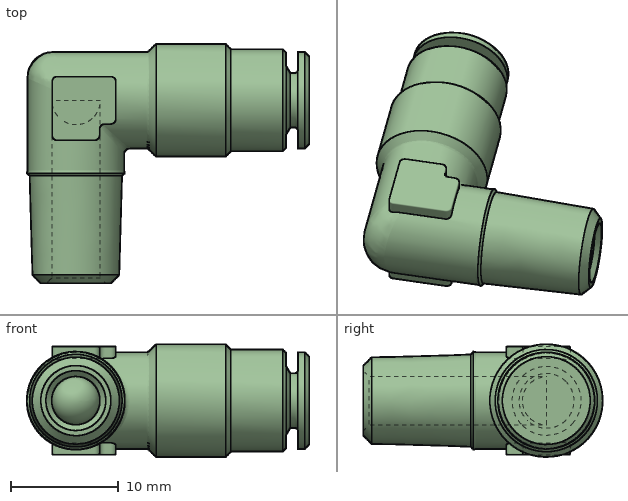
import cadquery as cq
import math


neck_radius = 9.0 / 2
outer_corner_radius = 2.4
inner_corner_radius = 0.47
core_half_height = 4.07

rim_start = 6.54
rim_peak = 6.77
rim_end = 7.0
stem_end = 17.0
rim_radius = 4.57
taper_start_radius = 8.6 / 2
taper_end_radius = 4.05
stem_chamfer = 0.8
bore_radius = 4.5 / 2
bore_mouth_radius = 2.78

housing_start = 6.55
large_end = 13.9
housing_end = 19.53
large_radius = 10.5 / 2
small_radius = 9.5 / 2
housing_end_chamfer = 0.32
neck_blend_radius = 0.35

sleeve_end = 21.68
flange_thickness = 1.05
flange_radius = 9.0 / 2
flange_chamfer = 0.42
sleeve_radius = 5.1 / 2
sleeve_cone_length = 0.4
sleeve_cone_radius = 3.2
sleeve_fillet = 0.32

pad_near = -2.2
pad_far = 3.73
pad_height = 5.05
pad_bottom = 3.15
pad_notch = 1.52
pad_corner_radius = 0.5
pad_edge_fillet = 0.13


def elbow():
    """Two mitred cylinders with a rounded outer and a blended inner corner."""
    reach = 2 * neck_radius
    tube_arm = (
        cq.Workplane("YZ")
        .workplane(offset=-reach)
        .circle(neck_radius)
        .extrude(reach + housing_start)
    )
    stem_arm = (
        cq.Workplane("XZ")
        .workplane(offset=-reach)
        .circle(neck_radius)
        .extrude(reach + rim_start)
    )
    tube_side = (
        cq.Workplane("XY")
        .polyline([(-reach, reach), (reach, reach), (reach, -reach)])
        .close()
        .extrude(reach, both=True)
    )
    body = tube_arm.intersect(tube_side).union(stem_arm.cut(tube_side))
    core = cq.Workplane("XY").box(6 * reach, 6 * reach, 2 * core_half_height)
    caps = body.cut(core)
    outer_edge = cq.selectors.BoxSelector((-reach, 0, -reach), (0, reach, reach))
    inner_edge = cq.selectors.BoxSelector((0, -reach, -reach), (reach, 0, reach))
    rounded_core = (
        body.intersect(core)
        .edges("%ELLIPSE")
        .edges(outer_edge)
        .fillet(outer_corner_radius)
        .edges("%ELLIPSE")
        .edges(inner_edge)
        .fillet(inner_corner_radius)
    )
    return rounded_core.union(caps)


def stem():
    """Rim and tapered stem, turned about the Y axis."""
    return (
        cq.Workplane("XY")
        .moveTo(0, -rim_start)
        .lineTo(neck_radius, -rim_start)
        .lineTo(rim_radius, -rim_peak)
        .lineTo(taper_start_radius, -rim_end)
        .lineTo(taper_end_radius, stem_chamfer - stem_end)
        .lineTo(taper_end_radius - stem_chamfer, -stem_end)
        .lineTo(0, -stem_end)
        .close()
        .revolve(360, (0, 0), (0, 1))
    )


def housing_and_sleeve():
    """Stepped housing and the release sleeve, turned about the X axis."""
    blend_length = neck_blend_radius * math.sin(math.radians(45))
    blend_rise = neck_blend_radius - blend_length
    cone_start = housing_start + blend_length
    cone_rise = large_radius - neck_radius - blend_rise
    flange_start = sleeve_end - flange_thickness
    return (
        cq.Workplane("XY")
        .moveTo(housing_start, 0)
        .lineTo(housing_start, neck_radius)
        .radiusArc((cone_start, neck_radius + blend_rise), -neck_blend_radius)
        .lineTo(cone_start + cone_rise, large_radius)
        .lineTo(large_end, large_radius)
        .lineTo(large_end + large_radius - small_radius, small_radius)
        .lineTo(housing_end - housing_end_chamfer, small_radius)
        .lineTo(housing_end, small_radius - housing_end_chamfer)
        .lineTo(housing_end, sleeve_cone_radius)
        .lineTo(housing_end + sleeve_cone_length, sleeve_radius)
        .lineTo(flange_start - sleeve_fillet, sleeve_radius)
        .radiusArc((flange_start, sleeve_radius + sleeve_fillet), -sleeve_fillet)
        .lineTo(flange_start, flange_radius)
        .lineTo(sleeve_end - flange_chamfer, flange_radius)
        .lineTo(sleeve_end, flange_radius - flange_chamfer)
        .lineTo(sleeve_end, 0)
        .close()
        .revolve(360, (0, 0), (1, 0))
    )


def wrench_pad():
    """Rounded square pad, notched at the inside corner of the elbow."""
    return (
        cq.Workplane("XY")
        .workplane(offset=pad_bottom)
        .moveTo(pad_near, -pad_near)
        .lineTo(pad_far, -pad_near)
        .lineTo(pad_far, pad_notch - pad_far)
        .lineTo(pad_far - pad_notch, pad_notch - pad_far)
        .lineTo(pad_far - pad_notch, -pad_far)
        .lineTo(pad_near, -pad_far)
        .close()
        .extrude(pad_height - pad_bottom)
        .edges("|Z")
        .fillet(pad_corner_radius)
        .faces(">Z")
        .edges()
        .fillet(pad_edge_fillet)
    )


def stem_bore():
    """Bore with a flared mouth, closed at its inner end by a dome that bulges toward the mouth."""
    mouth_depth = bore_mouth_radius - bore_radius
    return (
        cq.Workplane("XY")
        .moveTo(0, -bore_radius)
        .radiusArc((bore_radius, 0), -bore_radius)
        .lineTo(bore_radius, mouth_depth - stem_end)
        .lineTo(bore_mouth_radius, -stem_end)
        .lineTo(0, -stem_end)
        .close()
        .revolve(360, (0, 0), (0, 1))
    )


body = elbow().union(stem()).union(housing_and_sleeve())
upper_pad = wrench_pad()
lower_pad = upper_pad.mirror("XY")
result = body.union(upper_pad).union(lower_pad).cut(stem_bore())